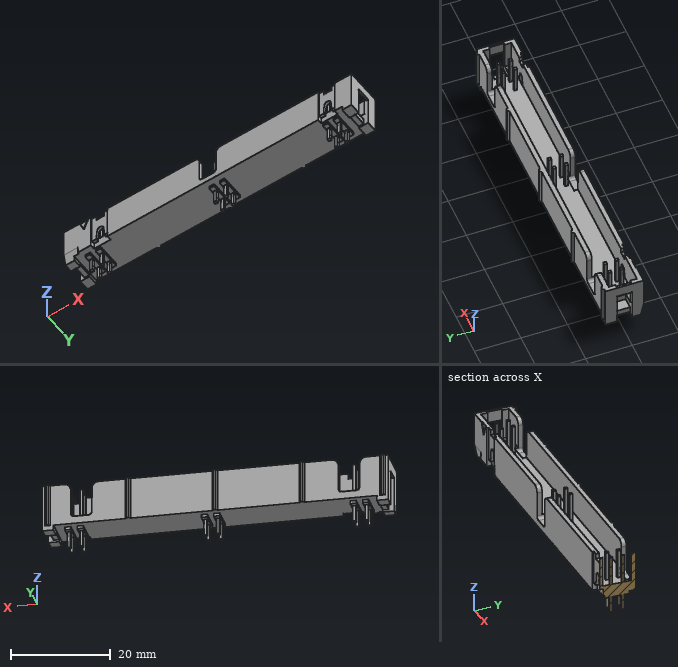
import cadquery as cq


LENGTH = 70.82
DEPTH = 8.24
HEIGHT = 8.8
SIDE_WALL = 1.1
END_WALL = 0.95
FLOOR_TOP = 2.4
HALF_LENGTH = LENGTH / 2
FRONT_Y = -DEPTH / 2
BACK_Y = DEPTH / 2
FRONT_INNER_Y = FRONT_Y + SIDE_WALL

FOOT_LENGTH = 2.3
FOOT_DROP = 1.05

WINDOW_WIDTH = 3.2
WINDOW_TOP = 6.25
WINDOW_SKIN = 0.5
TONGUE_GAP = 1.1
TONGUE_LENGTH = 2.35
TONGUE_TOP = 0.8

PITCH = 2.54
COLUMN_COUNT = 25
PIN_COLUMNS = (0, 1, 12, 13, 23, 24)
PIN_WIDTH = 0.64
PIN_TOP = 8.5
PIN_BOTTOM = -3.95

STANDOFF_WIDTH = 1.2
STANDOFF_LENGTH = 5.4
STANDOFF_DROP = 0.6

SLOT_BOTTOM = 1.6
SLOT_INNER_Y = 2.2
SLOT_MOUTH_RADIUS = 1.3
SLOT_CORNER_RADIUS = 0.7
KEY_SLOT_WIDTH = 4.06
BACK_SLOT_WIDTH = 4.34
BACK_SLOT_X = 27.4

RECESS_COLUMNS = (1.5, 23.5)
RECESS_WIDTH = 4.06
RECESS_DEPTH = 0.4
RECESS_LEDGE = 1.6
NOTCH_WIDTH = 1.92
NOTCH_DEPTH = 1.1
ARCH_SPRING = 4.2
ARCH_TOP = 4.8
ARCH_WIDTH = 1.5

RIB_POSITIONS = (-34.3, -17.8, 0, 17.8, 34.3)
RIB_BASE = 1.1
RIB_TIP = 0.4
RIB_HEIGHT = 0.4

MARK_WIDTH = 2.05
MARK_HEIGHT = 2.4
MARK_DEPTH = 0.15
BEVEL_LENGTH = 3.47
BEVEL_TOP = 1.7
BEVEL_DEPTH = 0.6


def box(x0, x1, y0, y1, z0, z1):
    """Block between two opposite corners."""
    return cq.Workplane("XY").box(x1 - x0, y1 - y0, z1 - z0, centered=False).translate((x0, y0, z0))


def along_y(sketch, y0, y1):
    """Extrude a closed XZ outline from y0 to y1."""
    return sketch.extrude(-(y1 - y0)).translate((0, y0, 0))


def column_x(index):
    return (index - (COLUMN_COUNT - 1) / 2) * PITCH


def make_trough():
    body = box(-HALF_LENGTH, HALF_LENGTH, FRONT_Y, BACK_Y, 0, HEIGHT)
    inner_x = HALF_LENGTH - END_WALL
    inner_y = BACK_Y - SIDE_WALL
    return body.cut(box(-inner_x, inner_x, -inner_y, inner_y, FLOOR_TOP, HEIGHT))


def make_left_feet():
    return box(-HALF_LENGTH, -HALF_LENGTH + FOOT_LENGTH, FRONT_Y, BACK_Y, -FOOT_DROP, 0)


def make_left_window():
    """Window, inner channel and floor clearance that leave the floor tongue standing."""
    half = WINDOW_WIDTH / 2
    tongue_x = -HALF_LENGTH + TONGUE_GAP
    tongue_end_x = tongue_x + TONGUE_LENGTH
    foot_end_x = -HALF_LENGTH + FOOT_LENGTH
    window = box(-HALF_LENGTH, tongue_x, -half, half, -FOOT_DROP, WINDOW_TOP)
    channel = box(-HALF_LENGTH + WINDOW_SKIN, tongue_x, -half, half, 0, HEIGHT)
    above_tongue = box(tongue_x, tongue_end_x, -half, half, TONGUE_TOP, FLOOR_TOP)
    below_tongue = box(tongue_x, foot_end_x, -half, half, -FOOT_DROP, -STANDOFF_DROP)
    return window.union(channel).union(above_tongue).union(below_tongue)


def both_ends(left):
    return left.union(left.mirror("YZ"))


def make_slot(center_x, width, y0, y1):
    half = width / 2
    r = SLOT_CORNER_RADIUS
    mouth = half + SLOT_MOUTH_RADIUS
    mouth_z = HEIGHT - SLOT_MOUTH_RADIUS
    sketch = (
        cq.Workplane("XZ")
        .moveTo(-mouth, HEIGHT)
        .radiusArc((-half, mouth_z), SLOT_MOUTH_RADIUS)
        .lineTo(-half, SLOT_BOTTOM + r)
        .radiusArc((-half + r, SLOT_BOTTOM), -r)
        .lineTo(half - r, SLOT_BOTTOM)
        .radiusArc((half, SLOT_BOTTOM + r), -r)
        .lineTo(half, mouth_z)
        .radiusArc((mouth, HEIGHT), SLOT_MOUTH_RADIUS)
        .close()
    )
    return along_y(sketch, y0, y1).translate((center_x, 0, 0))


def make_latch_recess(center_x):
    half = RECESS_WIDTH / 2
    half_notch = NOTCH_WIDTH / 2
    half_arch = ARCH_WIDTH / 2
    face = box(-half, half, FRONT_Y, FRONT_Y + RECESS_DEPTH, 0, HEIGHT)
    below_ledge = box(-half, half, FRONT_Y, FRONT_INNER_Y, 0, RECESS_LEDGE)
    top_notch = box(-half_notch, half_notch, FRONT_Y, FRONT_INNER_Y, HEIGHT - NOTCH_DEPTH, HEIGHT)
    arch = (
        cq.Workplane("XZ")
        .moveTo(-half_notch, RECESS_LEDGE)
        .lineTo(-half_notch, FLOOR_TOP)
        .lineTo(-half_arch, ARCH_SPRING)
        .threePointArc((0, ARCH_TOP), (half_arch, ARCH_SPRING))
        .lineTo(half_notch, FLOOR_TOP)
        .lineTo(half_notch, RECESS_LEDGE)
        .close()
    )
    arch_hole = along_y(arch, FRONT_Y, FRONT_INNER_Y)
    return face.union(below_ledge).union(top_notch).union(arch_hole).translate((center_x, 0, 0))


def make_rib(center_x):
    return (
        cq.Workplane("XY")
        .moveTo(center_x - RIB_BASE / 2, BACK_Y)
        .lineTo(center_x - RIB_TIP / 2, BACK_Y + RIB_HEIGHT)
        .lineTo(center_x + RIB_TIP / 2, BACK_Y + RIB_HEIGHT)
        .lineTo(center_x + RIB_BASE / 2, BACK_Y)
        .close()
        .extrude(HEIGHT)
    )


def make_pin_one_mark():
    x = column_x(0)
    sketch = (
        cq.Workplane("XZ")
        .moveTo(x - MARK_WIDTH / 2, HEIGHT)
        .lineTo(x, HEIGHT - MARK_HEIGHT)
        .lineTo(x + MARK_WIDTH / 2, HEIGHT)
        .close()
    )
    return along_y(sketch, FRONT_Y, FRONT_Y + MARK_DEPTH)


def make_corner_bevel():
    return (
        cq.Workplane("YZ", origin=(-HALF_LENGTH, 0, 0))
        .moveTo(FRONT_Y, BEVEL_TOP)
        .lineTo(FRONT_Y + BEVEL_DEPTH, -FOOT_DROP)
        .lineTo(FRONT_Y, -FOOT_DROP)
        .close()
        .extrude(BEVEL_LENGTH)
    )


def make_pin(x, y):
    half = PIN_WIDTH / 2
    return box(x - half, x + half, y - half, y + half, PIN_BOTTOM, PIN_TOP)


def make_standoff(x):
    half_width = STANDOFF_WIDTH / 2
    half_length = STANDOFF_LENGTH / 2
    return box(x - half_width, x + half_width, -half_length, half_length, -STANDOFF_DROP, 0)


result = make_trough().union(both_ends(make_left_feet()))
result = result.cut(both_ends(make_left_window()))
result = result.cut(make_slot(0, KEY_SLOT_WIDTH, FRONT_Y, -SLOT_INNER_Y))
for slot_x in (-BACK_SLOT_X, BACK_SLOT_X):
    result = result.cut(make_slot(slot_x, BACK_SLOT_WIDTH, SLOT_INNER_Y, BACK_Y))
for column in RECESS_COLUMNS:
    result = result.cut(make_latch_recess(column_x(column)))
result = result.cut(make_pin_one_mark()).cut(make_corner_bevel())
for rib_x in RIB_POSITIONS:
    result = result.union(make_rib(rib_x))
for column in PIN_COLUMNS:
    result = result.union(make_standoff(column_x(column)))
    for row_y in (-PITCH / 2, PITCH / 2):
        result = result.union(make_pin(column_x(column), row_y))